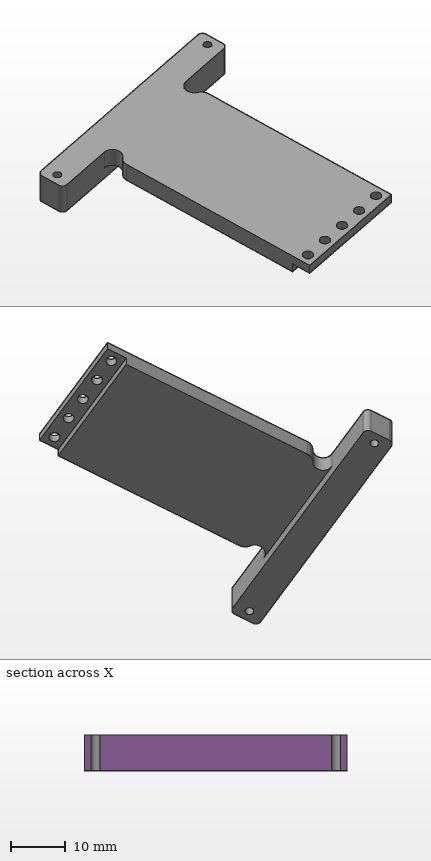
import cadquery as cq
import math

total_length = 54.0
bar_length = 48.0
bar_width = 6.0
bar_height = 6.6
bar_corner_radius = 1.0
bar_hole_diameter = 1.55
bar_hole_inset = 2.0

plate_width = 24.0
plate_thickness = 4.0
lip_length = 4.0
lip_thickness = plate_thickness / 2
plate_hole_diameter = 2.0
plate_hole_inset = 2.0
plate_hole_count = 5

relief_radius = 1.9
shoulder_radius = 2.0

plate_bottom = bar_height - plate_thickness
plate_length = total_length - bar_width


def make_bar():
    bar = cq.Workplane("XY").box(bar_width, bar_length, bar_height, centered=(False, True, False))
    return bar.edges("|Z").fillet(bar_corner_radius)


def make_plate():
    plate = (
        cq.Workplane("XY", origin=(bar_width, 0, plate_bottom))
        .box(plate_length, plate_width, plate_thickness, centered=(False, True, False))
    )
    lip_cut = (
        cq.Workplane("XY", origin=(total_length - lip_length, 0, plate_bottom))
        .box(lip_length, plate_width, plate_thickness - lip_thickness, centered=(False, True, False))
    )
    return plate.cut(lip_cut)


def make_relief(side):
    """Round notch centred on the plate edge, blended into that edge by a tangent shoulder arc."""
    edge_y = side * plate_width / 2
    relief_x = bar_width + relief_radius

    center_distance = relief_radius + shoulder_radius
    shoulder_angle = math.asin(shoulder_radius / center_distance)
    shoulder_x = relief_x + center_distance * math.cos(shoulder_angle)
    shoulder_y = edge_y - side * shoulder_radius
    tangent_point = (
        relief_x + relief_radius * math.cos(shoulder_angle),
        edge_y - side * relief_radius * math.sin(shoulder_angle),
    )
    shoulder_mid_angle = (math.pi / 2 + math.pi - shoulder_angle) / 2
    shoulder_mid = (
        shoulder_x + shoulder_radius * math.cos(shoulder_mid_angle),
        shoulder_y + side * shoulder_radius * math.sin(shoulder_mid_angle),
    )
    return (
        cq.Workplane("XY", origin=(0, 0, plate_bottom))
        .moveTo(bar_width, edge_y)
        .threePointArc((relief_x, edge_y - side * relief_radius), tangent_point)
        .threePointArc(shoulder_mid, (shoulder_x, edge_y))
        .close()
        .extrude(plate_thickness)
    )


def make_holes(points, diameter):
    return cq.Workplane("XY").pushPoints(points).circle(diameter / 2).extrude(bar_height)


bar_hole_y = bar_length / 2 - bar_hole_inset
bar_hole_points = [(bar_width / 2, side * bar_hole_y) for side in (-1, 1)]

first_plate_hole_y = plate_hole_inset - plate_width / 2
plate_hole_pitch = (plate_width - 2 * plate_hole_inset) / (plate_hole_count - 1)
plate_hole_points = [
    (total_length - plate_hole_inset, first_plate_hole_y + i * plate_hole_pitch)
    for i in range(plate_hole_count)
]

result = make_bar().union(make_plate())
for side in (-1, 1):
    result = result.cut(make_relief(side))
result = result.cut(make_holes(bar_hole_points, bar_hole_diameter))
result = result.cut(make_holes(plate_hole_points, plate_hole_diameter))